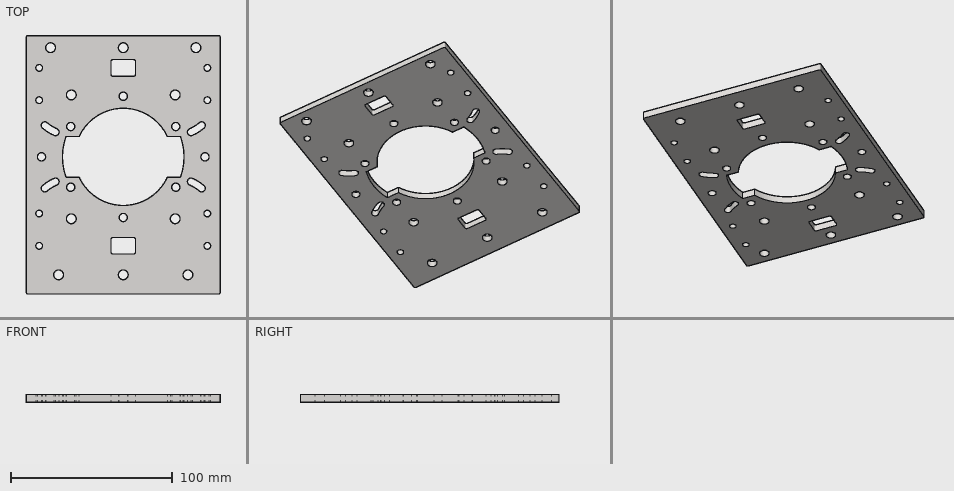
import cadquery as cq
import math

plate_width = 120.0
plate_length = 160.0
plate_thickness = 5.0
corner_radius = 1.0

pattern_y = 5.0

bore_diameter = 60.0
notch_diameter = 75.0
notch_height = 25.0

large_hole = 6.0
medium_hole = 5.0
small_hole = 4.0

ring_radius = notch_diameter / 2
ring_angles = (30, 90, 150, 210, 270, 330)
pivot_circle_diameter = 100.0
pivot_angle = 50
side_hole_x = 50.5

top_row_spacing = 45.0
top_row_edge_distance = 7.5
bottom_row_spacing = 40.0
bottom_row_edge_distance = 12.0

small_hole_edge_distance = 8.0
small_hole_outer_y = 55.0
small_hole_pitch = 20.0

window_width = 15.0
window_height = 10.0
window_corner_radius = 1.0
window_offset_y = small_hole_outer_y

slot_arc_radius = 25.0
slot_width = 4.3
slot_start_angle = -67
slot_end_angle = -49


def polar(radius, angle, center=(0, 0)):
    """Point at a radius and an angle in degrees around a center."""
    turn = math.radians(angle)
    return (center[0] + radius * math.cos(turn), center[1] + radius * math.sin(turn))


def mirrored(x, y):
    """The four points (+-x, +-y)."""
    return [(x, y), (-x, y), (-x, -y), (x, -y)]


def cutter(center_y=pattern_y):
    """Workplane on the underside of the plate for sketching through cuts."""
    return cq.Workplane("XY").center(0, center_y)


def round_holes(points, diameter, center_y=pattern_y):
    return cutter(center_y).pushPoints(points).circle(diameter / 2).extrude(plate_thickness)


def central_opening():
    bore = cutter().circle(bore_diameter / 2).extrude(plate_thickness)
    notches = cutter().circle(notch_diameter / 2).extrude(plate_thickness)
    band = cutter().rect(plate_width, notch_height).extrude(plate_thickness)
    return bore.union(notches.intersect(band))


def curved_slot():
    """The upper right slot."""
    pivot = polar(pivot_circle_diameter / 2, pivot_angle)
    inner_radius = slot_arc_radius - slot_width / 2
    outer_radius = slot_arc_radius + slot_width / 2
    middle_angle = (slot_start_angle + slot_end_angle) / 2
    end_overrun = math.degrees(2 * math.asin(slot_width / 4 / slot_arc_radius))
    return (
        cutter()
        .moveTo(*polar(outer_radius, slot_start_angle, pivot))
        .threePointArc(
            polar(outer_radius, middle_angle, pivot),
            polar(outer_radius, slot_end_angle, pivot),
        )
        .threePointArc(
            polar(slot_arc_radius, slot_end_angle + end_overrun, pivot),
            polar(inner_radius, slot_end_angle, pivot),
        )
        .threePointArc(
            polar(inner_radius, middle_angle, pivot),
            polar(inner_radius, slot_start_angle, pivot),
        )
        .threePointArc(
            polar(slot_arc_radius, slot_start_angle - end_overrun, pivot),
            polar(outer_radius, slot_start_angle, pivot),
        )
        .close()
        .extrude(plate_thickness)
    )


def curved_slots():
    """One slot in each quadrant around the pattern centre."""
    center = (0, pattern_y, 0)
    right_pair = curved_slot().union(curved_slot().mirror("XZ", center))
    return right_pair.union(right_pair.mirror("YZ", center))


def end_row(spacing, y):
    points = [(-spacing, 0), (0, 0), (spacing, 0)]
    return round_holes(points, large_hole, y)


def small_holes():
    x = plate_width / 2 - small_hole_edge_distance
    inner_y = small_hole_outer_y - small_hole_pitch
    return round_holes(mirrored(x, small_hole_outer_y) + mirrored(x, inner_y), small_hole)


def windows():
    points = [(0, window_offset_y), (0, -window_offset_y)]
    return (
        cutter()
        .pushPoints(points)
        .rect(window_width, window_height)
        .extrude(plate_thickness)
        .edges("|Z")
        .fillet(window_corner_radius)
    )


plate = (
    cq.Workplane("XY")
    .rect(plate_width, plate_length)
    .extrude(plate_thickness)
    .edges("|Z")
    .fillet(corner_radius)
)

ring_points = [polar(ring_radius, angle) for angle in ring_angles]
side_points = [(-side_hole_x, 0), (side_hole_x, 0)]
pivot_points = mirrored(*polar(pivot_circle_diameter / 2, pivot_angle))

cuts = [
    central_opening(),
    round_holes(ring_points + side_points, medium_hole),
    round_holes(pivot_points, large_hole),
    end_row(top_row_spacing, plate_length / 2 - top_row_edge_distance),
    end_row(bottom_row_spacing, bottom_row_edge_distance - plate_length / 2),
    small_holes(),
    windows(),
    curved_slots(),
]

result = plate
for cut in cuts:
    result = result.cut(cut)